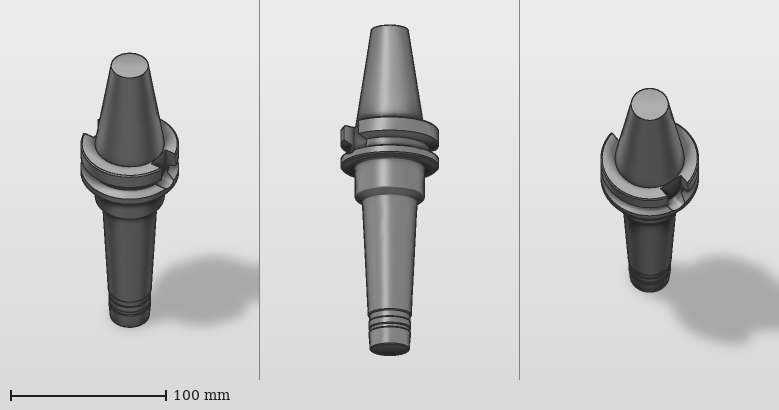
import cadquery as cq

total_height = 215.5
flange_top = 148.0
flange_bottom = 123.0
collar_bottom = 102.5
shank_top = 99.3
nose_top = 23.5

taper_small_diameter = 24.0
taper_large_diameter = 44.5
flange_diameter = 63.0
flange_groove_diameter = 50.8
collar_diameter = 44.5
shank_large_diameter = 35.3
shank_small_diameter = 27.8
nose_diameter = 27.0
nose_tip_diameter = 25.2
nose_groove_diameter = 26.0

upper_rim_bottom = 138.3
groove_top = 135.7
groove_bottom = 130.5
lower_rim_top = 128.2
rim_chamfer = 0.9

neck_fillet = 1.7
collar_fillet = 1.7
shank_fillet = 0.9

upper_land_top = 19.0
upper_land_bottom = 14.5
tip_land_top = 11.8
groove_bevel = 0.6
nose_chamfer = 0.6

slot_width = 16.2
slot_depth = 21.3
slot_floor_distance = 22.5


def make_body():
    """Revolve the outer half profile about Z."""
    flange_radius = flange_diameter / 2
    groove_radius = flange_groove_diameter / 2
    collar_radius = collar_diameter / 2
    tip_radius = nose_tip_diameter / 2
    nose_radius = nose_diameter / 2
    nose_groove_radius = nose_groove_diameter / 2
    profile = [
        (0, 0),
        (tip_radius - nose_chamfer, 0),
        (tip_radius, nose_chamfer),
        (nose_radius, tip_land_top - groove_bevel),
        (nose_groove_radius, tip_land_top),
        (nose_groove_radius, upper_land_bottom - groove_bevel),
        (nose_radius, upper_land_bottom),
        (nose_radius, upper_land_top - groove_bevel),
        (nose_groove_radius, upper_land_top),
        (nose_groove_radius, nose_top - groove_bevel),
        (shank_small_diameter / 2, nose_top),
        (shank_large_diameter / 2, shank_top),
        (collar_radius, collar_bottom),
        (collar_radius, flange_bottom),
        (flange_radius - rim_chamfer, flange_bottom),
        (flange_radius, flange_bottom + rim_chamfer),
        (flange_radius, lower_rim_top),
        (groove_radius, groove_bottom),
        (groove_radius, groove_top),
        (flange_radius, upper_rim_bottom),
        (flange_radius, flange_top - rim_chamfer),
        (flange_radius - rim_chamfer, flange_top),
        (taper_large_diameter / 2, flange_top),
        (taper_small_diameter / 2, total_height),
        (0, total_height),
    ]
    return cq.Workplane("XZ").polyline(profile).close().revolve(360, (0, 0), (0, 1))


def round_circle(body, diameter, height, radius):
    """Fillet the circular edge of the given diameter centred on Z at a height."""
    tolerance = 0.02
    size = diameter / 2 + tolerance
    level_edges = cq.selectors.BoxSelector(
        (-size, -size, height - tolerance), (size, size, height + tolerance), boundingbox=True
    )
    return body.edges(level_edges).fillet(radius)


def make_drive_slot(side):
    """Round-ended slot, open at the flange top; side is +1 or -1 along X."""
    radius = slot_width / 2
    arc_center_height = flange_top - slot_depth + radius
    return (
        cq.Workplane("YZ", origin=(side * slot_floor_distance, 0, 0))
        .moveTo(-radius, flange_top)
        .lineTo(-radius, arc_center_height)
        .threePointArc((0, flange_top - slot_depth), (radius, arc_center_height))
        .lineTo(radius, flange_top)
        .close()
        .extrude(side * flange_diameter)
    )


result = make_body()
result = round_circle(result, collar_diameter, flange_bottom, neck_fillet)
result = round_circle(result, collar_diameter, collar_bottom, collar_fillet)
result = round_circle(result, shank_large_diameter, shank_top, shank_fillet)
for slot_side in (1, -1):
    result = result.cut(make_drive_slot(slot_side))